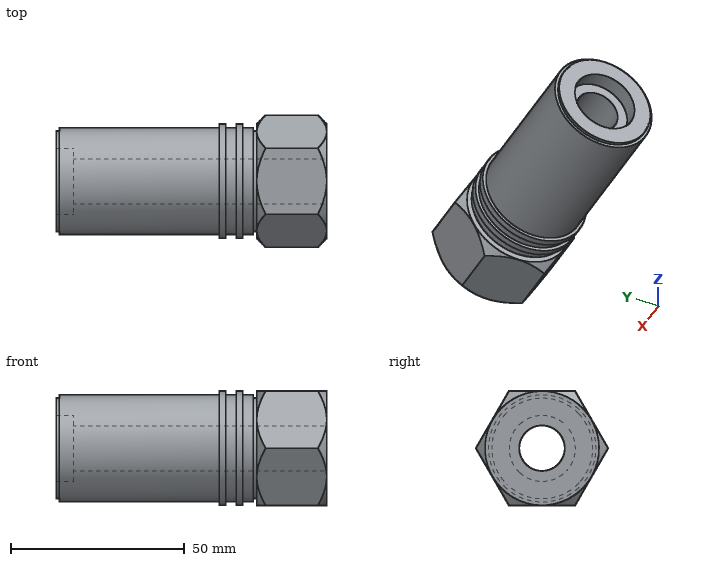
import cadquery as cq
import math

total_length = 78.0
nut_length = 20.3
nut_across_flats = 33.0
nut_face_diameter = 32.8
body_diameter = 30.9
neck_diameter = 29.0
neck_length = 0.9
ring_diameter = nut_across_flats
ring_width = 1.95
ring_pitch = 4.9
first_ring_start = 46.95
ring_count = 2
bore_diameter = 13.0
counterbore_diameter = 19.0
counterbore_depth = 5.0

nut_start = total_length - nut_length
body_length = nut_start - 2 * neck_length
nut_across_corners = nut_across_flats / math.cos(math.pi / 6)
nut_chamfer = (nut_across_corners - nut_face_diameter) / 2


def cylinder(start, length, diameter):
    """Cylinder on the X axis, running from start toward +X."""
    return cq.Workplane("YZ", origin=(start, 0, 0)).circle(diameter / 2).extrude(length)


def sleeve():
    """Smooth round body with a slimmer neck at each end and raised rings near the nut."""
    core = cylinder(0, nut_start, neck_diameter)
    sleeve_body = core.union(cylinder(neck_length, body_length, body_diameter))
    for index in range(ring_count):
        ring_start = first_ring_start + index * ring_pitch
        sleeve_body = sleeve_body.union(cylinder(ring_start, ring_width, ring_diameter))
    return sleeve_body


def hex_nut():
    """Hexagon with corners on the Y axis, its corners trimmed by 45-degree cones at both ends."""
    hexagon = (
        cq.Workplane("YZ", origin=(nut_start, 0, 0))
        .polygon(6, nut_across_corners)
        .extrude(nut_length)
    )
    corner_trim = cylinder(nut_start, nut_length, nut_across_corners).edges().chamfer(nut_chamfer)
    return hexagon.intersect(corner_trim)


through_bore = cylinder(0, total_length, bore_diameter)
counterbore = cylinder(0, counterbore_depth, counterbore_diameter)

result = sleeve().union(hex_nut()).cut(through_bore).cut(counterbore)